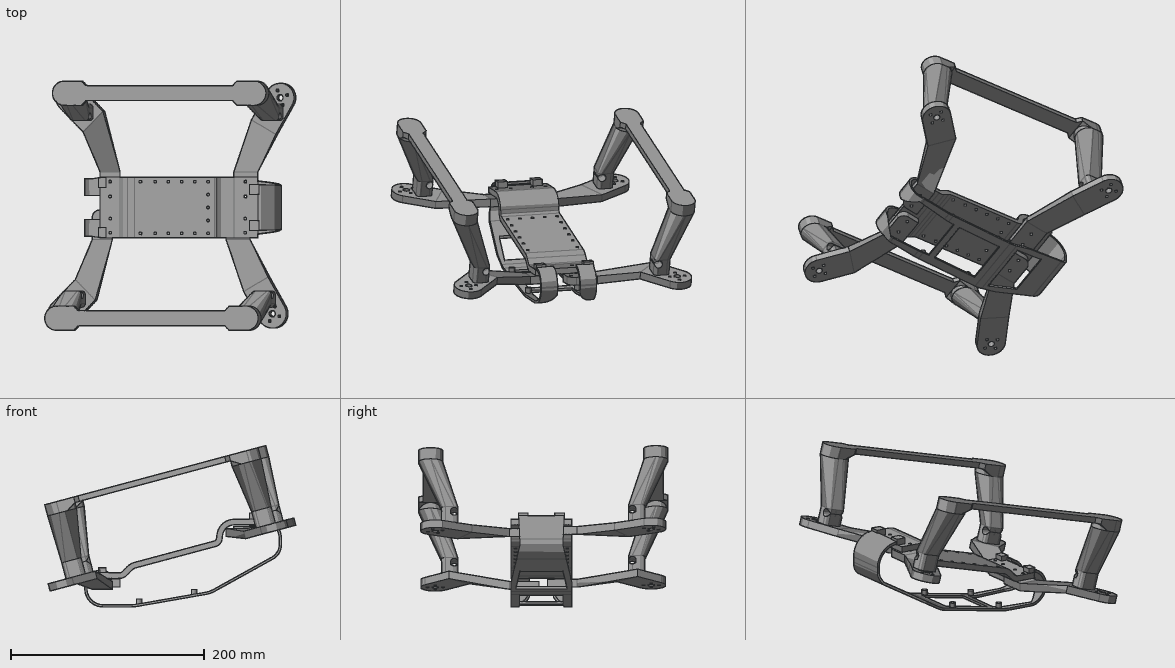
import cadquery as cq
import math

PITCH = 15.0

SIDE_SHIFT = 8.3

SPAN = 400.0

DECK_Y = -1.85
DECK_WIDTH = 62.9
DECK_THICKNESS = 6.0
DECK_REAR_X = -72.7
DECK_FRONT_X = 90.5
REAR_PLATE_Z = -50.75
FRONT_PLATE_Z = 4.45
REAR_STEP_BOTTOM_X = -49.4
REAR_STEP_TOP = (-39.6, -40.9)
FRONT_STEP_BOTTOM_X = 50.1
FRONT_STEP_TOP_X = 52.7
DECK_BEND_RADII = (6.0, 13.0, 6.0, 15.0)
SCREW_DIAMETER = 2.8
PLATE_HOLE_OFFSETS = (-26.0, -11.4, 11.4, 26.6)
REAR_PLATE_HOLE_X = -61.9
FRONT_PLATE_HOLE_X = 77.3
GRID_COLUMN_X = (-31.0, -15.6, -2.0, 11.7, 25.4)
GRID_END_X = 39.0
GRID_ROW_PITCH = 13.35

PAD_RADIUS = 15.0
PAD_TOP = -24.5
PAD_THICKNESS = 8.0
PAD_LENGTH = 35.0
MOTOR_Y = 111.5
FRONT_MOTOR_X = 110.6
REAR_MOTOR_X = -114.0
FRONT_PAD_ANGLE = 30.0
REAR_PAD_ANGLE = -45.0
MOTOR_BORE = 6.5
MOTOR_SCREW_CIRCLE = 8.0
FRONT_SCREW_TURN = 20.0
REAR_SCREW_TURN = 0.0
MOTOR_SCREW_DIAMETER = 2.8
ROOT_Y = 35.0
ROOT_END_Y = 4.3
ROOT_THICKNESS = 8.3
FRONT_ROOT_GAP = 1.5
REAR_ROOT_GAP = 0.8
ROOT_CORNER_RADIUS = 8.0
FRONT_ROOT = (65.5, 90.5)
REAR_ROOT = (-72.7, -51.8)
ROOT_HOLE_Y = (9.5, 25.0)

RAIL_Y = 116.2
RAIL_REAR_X = -111.3
RAIL_FRONT_X = 116.9
RAIL_TOP = 55.2
RAIL_BAR_WIDTH = 15.6
RAIL_BAR_THICKNESS = 6.0
HEAD_WIDTH = 25.0
HEAD_LENGTH = 31.0
HEAD_THICKNESS = 12.0
HEAD_BEVEL_LENGTH = 10.0
LEG_END_FLAT = 0.02
FOOT_Y = 96.4
FOOT_LENGTH = 20.8
FOOT_WIDTH = 17.0
FOOT_CORNER_RADIUS = 4.0
FOOT_HEIGHT = 17.2
FRONT_FOOT_X = 103.7
REAR_FOOT_X = -99.4
WIRE_HOLE_DIAMETER = 8.0
WIRE_HOLE_DEPTH = 4.8

STRAP_THICKNESS = 2.5
STRAP_WIDTH = DECK_WIDTH
STRAP_REAR_X = -87.15
STRAP_FRONT_X = 113.65
STRAP_BOTTOM_Z = -82.0
STRAP_REAR_RADIUS = 17.5
STRAP_REAR_HEIGHT = 36.0
STRAP_FRONT_TOP_Z = 9.75
REAR_FLAT_END_X = -37.0
RAMP_START = (41.3, -68.3)
RAMP_ANGLE = 29.0
STRAP_BEND_RADII = (STRAP_REAR_RADIUS, STRAP_REAR_RADIUS, 30.0, 25.0, 16.0, 22.9)
FRONT_TAPER = ((24.0, 20.0), (22.4, -13.0), (22.4, -20.0), (STRAP_WIDTH / 2, -58.0))
REAR_TAPER = ((-SPAN, 29.9), (-80.0, 29.9), (-70.0, STRAP_WIDTH / 2), (SPAN, STRAP_WIDTH / 2))
REAR_SLOT_HALF_WIDTH = 12.2
REAR_SLOT_WIDENING_X = -86.5
REAR_WINDOW_HALF_WIDTH = 26.0
REAR_WINDOW_END_X = -27.0
MIDDLE_WINDOW = (-20.0, 30.5)
WINDOW_HALF_WIDTH = 22.5
RAMP_WINDOW = (50.3, 83.5)
RAMP_WINDOW_HALF_WIDTHS = (26.5, 22.0)
POST_DIAMETER = 6.0
POST_HEIGHT = 5.0
POST_X = (-32.0, 24.8)
POST_Y_OFFSET = 26.5
HOOK_WIDTH = 10.3
REAR_HOOK_REACH = 6.4
REAR_HOOK_HEIGHT = 5.1
REAR_HOOK_Y_OFFSET = 25.8
FRONT_HOOK_REACH = 8.9
FRONT_HOOK_HEIGHT = 6.4
FRONT_HOOK_Y_OFFSET = 18.8
HOOK_ROOT = 1.2


def pitched(shape):
    """Turn a shape from the pitched plane system into the frame's own axes."""
    return shape.rotate((0, 0, 0), (0, 1, 0), -PITCH)


def pitched_point(x, y, z):
    c = math.cos(math.radians(PITCH))
    s = math.sin(math.radians(PITCH))
    return cq.Vector(x * c - z * s, y, x * s + z * c)


def opposite_side(shape):
    """The -Y copy of a +Y arm or rail."""
    return shape.mirror("XZ").translate(pitched_point(-SIDE_SHIFT, 0, 0))


def block(x_range, y_range, z_range):
    x0, x1 = x_range
    y0, y1 = y_range
    z0, z1 = z_range
    return cq.Workplane().box(x1 - x0, y1 - y0, z1 - z0, centered=False).translate((x0, y0, z0))


def ribbon_side(corners, radii, offset):
    """Corner-rounded path parallel to a center line, as (start, [(arc start, arc middle, arc end)], end)."""
    points = [cq.Vector(x, z) for x, z in corners]
    directions = [(b - a).normalized() for a, b in zip(points, points[1:])]
    normals = [cq.Vector(-d.y, d.x) for d in directions]
    start = points[0] + normals[0] * offset
    end = points[-1] + normals[-1] * offset
    arcs = []
    for i, radius in enumerate(radii):
        turn_in, turn_out = directions[i], directions[i + 1]
        turn = math.atan2(turn_in.x * turn_out.y - turn_in.y * turn_out.x, turn_in.dot(turn_out))
        side = math.copysign(1, turn)
        setback = radius * math.tan(abs(turn) / 2)
        tangent_point = points[i + 1] - turn_in * setback
        center = tangent_point + normals[i] * (side * radius)
        reach = offset - side * radius
        middle_normal = (normals[i] + normals[i + 1]).normalized()
        arcs.append([center + n * reach for n in (normals[i], middle_normal, normals[i + 1])])
    return start, arcs, end


def ribbon(corners, radii, thickness, width):
    """Bent strip of even thickness, its center line in XZ, centered on the deck in Y."""
    upper_start, upper_arcs, upper_end = ribbon_side(corners, radii, thickness / 2)
    lower_start, lower_arcs, lower_end = ribbon_side(corners, radii, -thickness / 2)
    outline = cq.Workplane("XZ").moveTo(upper_start.x, upper_start.y)
    for first, middle, last in upper_arcs:
        outline = outline.lineTo(first.x, first.y).threePointArc((middle.x, middle.y), (last.x, last.y))
    outline = outline.lineTo(upper_end.x, upper_end.y).lineTo(lower_end.x, lower_end.y)
    for first, middle, last in reversed(lower_arcs):
        outline = outline.lineTo(last.x, last.y).threePointArc((middle.x, middle.y), (first.x, first.y))
    outline = outline.lineTo(lower_start.x, lower_start.y).close()
    return outline.extrude(width / 2, both=True).translate((0, DECK_Y, 0))


def make_deck():
    slope = math.tan(math.radians(PITCH))
    step_x, step_z = REAR_STEP_TOP
    corners = [
        (DECK_REAR_X, REAR_PLATE_Z),
        (REAR_STEP_BOTTOM_X, REAR_PLATE_Z),
        REAR_STEP_TOP,
        (FRONT_STEP_BOTTOM_X, step_z + slope * (FRONT_STEP_BOTTOM_X - step_x)),
        (FRONT_STEP_TOP_X, FRONT_PLATE_Z),
        (DECK_FRONT_X, FRONT_PLATE_Z),
    ]
    deck = ribbon(corners, DECK_BEND_RADII, DECK_THICKNESS, DECK_WIDTH)
    plate_holes = [
        (x, DECK_Y + y) for x in (REAR_PLATE_HOLE_X, FRONT_PLATE_HOLE_X) for y in PLATE_HOLE_OFFSETS
    ]
    grid_holes = [(x, DECK_Y + side * 2 * GRID_ROW_PITCH) for x in GRID_COLUMN_X for side in (-1, 1)]
    grid_holes += [(GRID_END_X, DECK_Y + row * GRID_ROW_PITCH) for row in range(-2, 3)]
    drills = cq.Workplane().pushPoints(plate_holes + grid_holes).circle(SCREW_DIAMETER / 2)
    return deck.cut(drills.extrude(SPAN / 2, both=True))


def make_arm(motor_x, pad_angle, screw_turn, root_x, plate_z, root_gap):
    """+Y arm: pitched motor pad, ruled link and level root under a deck plate."""
    pad_bottom = PAD_TOP - PAD_THICKNESS

    pad = cq.Workplane().circle(PAD_RADIUS).extrude(PAD_THICKNESS)
    pad = pad.union(block((-PAD_RADIUS, PAD_RADIUS), (-PAD_LENGTH, 0), (0, PAD_THICKNESS)))
    pad = pad.rotate((0, 0, 0), (0, 0, 1), -pad_angle)
    pad = pad.cut(cq.Workplane().circle(MOTOR_BORE / 2).extrude(PAD_THICKNESS))
    screws = cq.Workplane().polarArray(MOTOR_SCREW_CIRCLE, screw_turn, 360, 4)
    pad = pad.cut(screws.circle(MOTOR_SCREW_DIAMETER / 2).extrude(PAD_THICKNESS))
    pad = pitched(pad.translate((motor_x, MOTOR_Y, pad_bottom)))

    root_top = plate_z - DECK_THICKNESS / 2 - root_gap
    root_bottom = root_top - ROOT_THICKNESS
    root = block(root_x, (ROOT_END_Y, ROOT_Y), (root_bottom, root_top))
    outer = "<X" if motor_x < 0 else ">X"
    root = root.edges("|Z").edges("<Y").edges(outer).fillet(ROOT_CORNER_RADIUS)
    root_holes = cq.Workplane().pushPoints([(sum(root_x) / 2, y) for y in ROOT_HOLE_Y])
    root = root.cut(root_holes.circle(SCREW_DIAMETER / 2).extrude(SPAN / 2, both=True))

    angle = math.radians(pad_angle)
    pad_end = []
    root_end = []
    for side, z, root_z in (
        (-1, pad_bottom, root_bottom),
        (1, pad_bottom, root_bottom),
        (1, PAD_TOP, root_top),
        (-1, PAD_TOP, root_top),
    ):
        across = side * PAD_RADIUS
        x = motor_x + across * math.cos(angle) - PAD_LENGTH * math.sin(angle)
        y = MOTOR_Y - across * math.sin(angle) - PAD_LENGTH * math.cos(angle)
        pad_end.append(pitched_point(x, y, z))
        root_end.append(cq.Vector(root_x[0] if side < 0 else root_x[1], ROOT_Y, root_z))
    sections = [cq.Wire.makePolygon(points, close=True) for points in (pad_end, root_end)]
    link = cq.Workplane(cq.Solid.makeLoft(sections, True))
    return pad.union(link).union(root)


def rounded_rectangle(length, width, radius):
    return cq.Sketch().rect(length, width).vertices().fillet(radius)


def make_rail_end(tip_x, inward, foot_x):
    """Head, leg and foot at one end of the +Y rail; inward is the X direction toward the other end."""
    head_bottom = RAIL_TOP - HEAD_THICKNESS
    bar_bottom = RAIL_TOP - RAIL_BAR_THICKNESS
    half_head = HEAD_WIDTH / 2
    half_bar = RAIL_BAR_WIDTH / 2
    arc_x = tip_x + inward * half_head
    head_end_x = tip_x + inward * HEAD_LENGTH
    neck_x = head_end_x + inward * (half_head - half_bar)

    head = (
        cq.Workplane(origin=(0, RAIL_Y, head_bottom))
        .moveTo(arc_x, half_head)
        .threePointArc((tip_x, 0), (arc_x, -half_head))
        .lineTo(head_end_x, -half_head)
        .lineTo(neck_x, -half_bar)
        .lineTo(neck_x, half_bar)
        .lineTo(head_end_x, half_head)
        .close()
        .extrude(HEAD_THICKNESS)
    )

    leg_x = tip_x + inward * HEAD_LENGTH / 2
    leg_top = cq.Workplane(origin=(leg_x, RAIL_Y, head_bottom)).slot2D(HEAD_LENGTH, HEAD_WIDTH)
    bevel = (
        cq.Workplane("XZ")
        .moveTo(head_end_x - inward * HEAD_BEVEL_LENGTH, head_bottom)
        .lineTo(head_end_x, bar_bottom)
        .lineTo(neck_x, bar_bottom)
        .lineTo(neck_x, head_bottom)
        .close()
        .extrude(-SPAN)
    )
    head = head.cut(bevel.cut(leg_top.extrude(HEAD_THICKNESS)))

    foot_top = PAD_TOP + FOOT_HEIGHT
    foot_section = rounded_rectangle(FOOT_LENGTH, FOOT_WIDTH, FOOT_CORNER_RADIUS)
    foot = cq.Workplane(origin=(foot_x, FOOT_Y, PAD_TOP)).placeSketch(foot_section).extrude(FOOT_HEIGHT)
    hole_y = FOOT_Y - FOOT_WIDTH / 2 + WIRE_HOLE_DIAMETER / 2
    hole_z = foot_top - WIRE_HOLE_DEPTH
    wire_hole = cq.Workplane("YZ", origin=(foot_x, hole_y, hole_z)).circle(WIRE_HOLE_DIAMETER / 2)
    foot = foot.cut(wire_hole.extrude(FOOT_LENGTH, both=True))
    leg_section = rounded_rectangle(HEAD_LENGTH, HEAD_WIDTH, half_head - LEG_END_FLAT / 2)
    leg_rise = cq.Vector(leg_x - foot_x, RAIL_Y - FOOT_Y, head_bottom - foot_top)
    leg = (
        cq.Workplane(origin=(foot_x, FOOT_Y, foot_top))
        .placeSketch(foot_section, leg_section.moved(cq.Location(leg_rise)))
        .loft(ruled=True)
    )
    return head.union(leg).union(foot)


def make_rail():
    bar_y = (RAIL_Y - RAIL_BAR_WIDTH / 2, RAIL_Y + RAIL_BAR_WIDTH / 2)
    bar_x = (RAIL_REAR_X + HEAD_LENGTH, RAIL_FRONT_X - HEAD_LENGTH)
    rail = block(bar_x, bar_y, (RAIL_TOP - RAIL_BAR_THICKNESS, RAIL_TOP))
    rail = rail.union(make_rail_end(RAIL_REAR_X, 1, REAR_FOOT_X))
    rail = rail.union(make_rail_end(RAIL_FRONT_X, -1, FRONT_FOOT_X))
    return pitched(rail)


def mirrored_prism(points):
    """Tall prism, mirrored about the deck's middle; points run along its +Y half."""
    mirrored = [(x, -y) for x, y in reversed(points)]
    outline = cq.Workplane(origin=(0, DECK_Y, -SPAN / 2)).polyline(points + mirrored).close()
    return outline.extrude(SPAN)


def make_cradle():
    rear_top_z = STRAP_BOTTOM_Z + STRAP_REAR_HEIGHT
    rear_start_x = STRAP_REAR_X + STRAP_REAR_RADIUS + 1
    ramp_x, ramp_z = RAMP_START
    ramp_top_z = ramp_z + (STRAP_FRONT_X - ramp_x) * math.tan(math.radians(RAMP_ANGLE))
    corners = [
        (rear_start_x, rear_top_z),
        (STRAP_REAR_X, rear_top_z),
        (STRAP_REAR_X, STRAP_BOTTOM_Z),
        (REAR_FLAT_END_X, STRAP_BOTTOM_Z),
        RAMP_START,
        (STRAP_FRONT_X, ramp_top_z),
        (STRAP_FRONT_X, STRAP_FRONT_TOP_Z),
        (DECK_FRONT_X, STRAP_FRONT_TOP_Z),
    ]
    cradle = ribbon(corners, STRAP_BEND_RADII, STRAP_THICKNESS, STRAP_WIDTH)

    cradle = cradle.cut(block((DECK_REAR_X, 0), (-SPAN, SPAN), (REAR_PLATE_Z, 0)))

    cradle = cradle.intersect(mirrored_prism(list(REAR_TAPER)))

    left_side = list(FRONT_TAPER)
    right_side = [(-y, z) for y, z in reversed(left_side)]
    front_width = cq.Workplane("YZ", origin=(ramp_x, DECK_Y, 0)).polyline(left_side + right_side).close()
    front_space = block((ramp_x, SPAN), (-SPAN, SPAN), (FRONT_TAPER[-1][1], SPAN))
    cradle = cradle.cut(front_space.cut(front_width.extrude(SPAN)))

    widened_x = REAR_SLOT_WIDENING_X + REAR_WINDOW_HALF_WIDTH - REAR_SLOT_HALF_WIDTH
    slot_y = (DECK_Y - REAR_SLOT_HALF_WIDTH, DECK_Y + REAR_SLOT_HALF_WIDTH)
    slot_bottom = STRAP_BOTTOM_Z + STRAP_REAR_RADIUS
    cradle = cradle.cut(block((-SPAN, DECK_REAR_X), slot_y, (slot_bottom, 0)))
    rear_window = mirrored_prism(
        [
            (-SPAN, REAR_SLOT_HALF_WIDTH),
            (REAR_SLOT_WIDENING_X, REAR_SLOT_HALF_WIDTH),
            (widened_x, REAR_WINDOW_HALF_WIDTH),
            (REAR_WINDOW_END_X, WINDOW_HALF_WIDTH),
        ]
    )
    cradle = cradle.cut(rear_window.intersect(block((-SPAN, 0), (-SPAN, SPAN), (-SPAN, slot_bottom))))
    cradle = cradle.cut(mirrored_prism([(x, WINDOW_HALF_WIDTH) for x in MIDDLE_WINDOW]))
    ramp_window = mirrored_prism(list(zip(RAMP_WINDOW, RAMP_WINDOW_HALF_WIDTHS)))
    cradle = cradle.cut(ramp_window.intersect(block((0, SPAN), (-SPAN, SPAN), (-SPAN, ramp_top_z))))

    floor_slope = (ramp_z - STRAP_BOTTOM_Z) / (ramp_x - REAR_FLAT_END_X)
    for x in POST_X:
        floor_z = STRAP_BOTTOM_Z + floor_slope * (x - REAR_FLAT_END_X)
        posts = cq.Workplane(origin=(x, DECK_Y, floor_z))
        posts = posts.pushPoints([(0, -POST_Y_OFFSET), (0, POST_Y_OFFSET)])
        cradle = cradle.union(posts.circle(POST_DIAMETER / 2).extrude(POST_HEIGHT + STRAP_THICKNESS / 2))

    rear_deck_top = REAR_PLATE_Z + DECK_THICKNESS / 2
    front_deck_top = FRONT_PLATE_Z + DECK_THICKNESS / 2
    rear_hook_x = (DECK_REAR_X - HOOK_ROOT, DECK_REAR_X + REAR_HOOK_REACH)
    front_hook_x = (DECK_FRONT_X - FRONT_HOOK_REACH, DECK_FRONT_X + HOOK_ROOT)
    for x_range, y_offset, base_z, height in (
        (rear_hook_x, REAR_HOOK_Y_OFFSET, rear_deck_top, REAR_HOOK_HEIGHT),
        (front_hook_x, FRONT_HOOK_Y_OFFSET, front_deck_top, FRONT_HOOK_HEIGHT),
    ):
        for side in (-1, 1):
            y = DECK_Y + side * y_offset
            y_range = (y - HOOK_WIDTH / 2, y + HOOK_WIDTH / 2)
            cradle = cradle.union(block(x_range, y_range, (base_z, base_z + height)))
    return cradle


deck = make_deck()
cradle = make_cradle()
front_arm = make_arm(
    FRONT_MOTOR_X, FRONT_PAD_ANGLE, FRONT_SCREW_TURN, FRONT_ROOT, FRONT_PLATE_Z, FRONT_ROOT_GAP
)
rear_arm = make_arm(REAR_MOTOR_X, REAR_PAD_ANGLE, REAR_SCREW_TURN, REAR_ROOT, REAR_PLATE_Z, REAR_ROOT_GAP)
rail = make_rail()

result = cq.Compound.makeCompound(
    [
        deck.val(),
        cradle.val(),
        front_arm.val(),
        opposite_side(front_arm).val(),
        rear_arm.val(),
        opposite_side(rear_arm).val(),
        rail.val(),
        opposite_side(rail).val(),
    ]
)